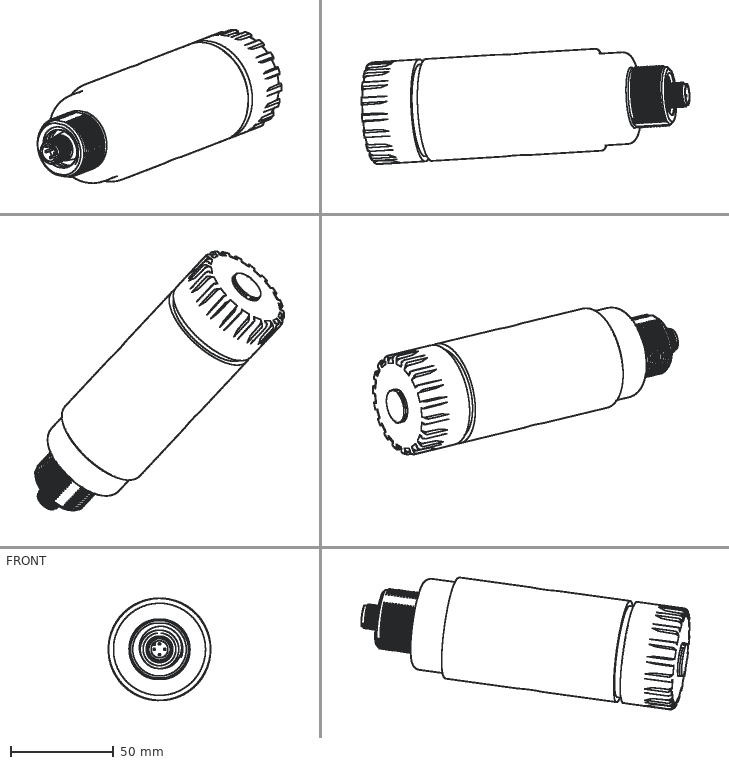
import cadquery as cq
import math

length = 160.0
back_end = length / 2
front_end = -length / 2
cap_back = back_end - 2.0
cap_front = cap_back - 25.2
body_back = cap_front - 3.3
waist_back = 13.4
waist_front = 0.0
neck_front = -52.7
sleeve_front = -71.6

body_radius = 25.0
neck_radius = 22.5
cap_edge_fillet = 1.9
waist_sag = 0.25
shoulder_start = -35.2
shoulder_convex = 1.1
shoulder_concave = body_radius - neck_radius - shoulder_convex
neck_fillet = 4.0

pocket_count = 18
pocket_clearance = 1.0
pocket_floor_radius = 23.6
pocket_floor_rise = 0.3
pocket_floor_fillet = 2.4
pocket_floor_width = 4.5
pocket_mouth_width = 6.4
pocket_floor_end = cap_back - 9.7
pocket_front = cap_back - 13.1

boss_radius = 8.2
boss_step = 0.15
boss_step_length = 1.0
boss_tab_width = 2.5
boss_tab_x = -1.1

sleeve_radius = 14.16
sleeve_flat = 13.9
sleeve_chamfer = 1.1
sleeve_flare = 0.7
sleeve_flare_length = 0.9
sleeve_thread_radius = 14.9
sleeve_pitch = 1.5
sleeve_thread_back = neck_front - 1.5
sleeve_thread_length = 15.5

bore_radius = 9.4
bore_floor_radius = 8.0
bore_cone_start = sleeve_front + 7.5
bore_floor = sleeve_front + 15.5
bore_groove_radius = 11.35
bore_pitch = 3.0
bore_groove_turns = 3
bore_groove_start = -60.0

plug_root_radius = 5.25
plug_thread_radius = 6.03
plug_pitch = 1.0
plug_thread_front = front_end + 1.2
plug_thread_length = 9.0
collar_radius = 6.5
collar_front = sleeve_front + 2.2
socket_radius = 4.15
socket_depth = 6.0
pin_circle_radius = 2.65
pin_radius = 0.5
pin_length = 5.0
pin_count = 4
key_circle_radius = 3.76
key_radius = 0.6
key_angle = 135.0

thread_foot_share = 0.85
thread_crest_share = 0.12

overlap = 0.1


def bend(radius):
    """Distance from the sharp corner to the middle of a quarter round, along either side."""
    return radius * (1 - math.sqrt(0.5))


def cylinder(radius, start, end):
    """Cylinder on the Y axis between two stations."""
    low = min(start, end)
    return cq.Workplane("XZ", origin=(0, low, 0)).circle(radius).extrude(-abs(end - start))


def revolve_y(profile):
    return profile.close().revolve(360, (0, 0, 0), (0, 1, 0))


def helix_ridge(base_radius, tip_radius, pitch, height, front, start_angle):
    """Right-hand helical ridge on the Y axis, growing from base to tip radius."""
    base_width = thread_foot_share * pitch
    tip_width = thread_crest_share * pitch
    path = cq.Wire.makeHelix(pitch, height, base_radius)
    section = (
        cq.Workplane("XZ")
        .moveTo(base_radius, -base_width / 2)
        .lineTo(tip_radius, -tip_width / 2)
        .lineTo(tip_radius, tip_width / 2)
        .lineTo(base_radius, base_width / 2)
        .close()
    )
    ridge = section.sweep(cq.Workplane(path), isFrenet=True)
    ridge = ridge.rotate((0, 0, 0), (0, 0, 1), start_angle)
    return ridge.rotate((0, 0, 0), (1, 0, 0), -90).translate((0, front, 0))


def make_housing():
    convex_end = shoulder_start - shoulder_convex
    concave_end = convex_end - shoulder_concave
    cap_bend = bend(cap_edge_fillet)
    convex_bend = bend(shoulder_convex)
    concave_bend = bend(shoulder_concave)
    neck_bend = bend(neck_fillet)
    waist_middle = (waist_back + waist_front) / 2
    return revolve_y(
        cq.Workplane("XY")
        .moveTo(0, cap_back)
        .lineTo(body_radius - cap_edge_fillet, cap_back)
        .threePointArc(
            (body_radius - cap_bend, cap_back - cap_bend),
            (body_radius, cap_back - cap_edge_fillet),
        )
        .lineTo(body_radius, cap_front)
        .lineTo(neck_radius, cap_front)
        .lineTo(neck_radius, body_back)
        .lineTo(body_radius, body_back)
        .lineTo(body_radius, waist_back)
        .threePointArc((body_radius - waist_sag, waist_middle), (body_radius, waist_front))
        .lineTo(body_radius, shoulder_start)
        .threePointArc(
            (body_radius - convex_bend, convex_end + convex_bend),
            (body_radius - shoulder_convex, convex_end),
        )
        .threePointArc(
            (neck_radius + concave_bend, convex_end - concave_bend),
            (neck_radius, concave_end),
        )
        .lineTo(neck_radius, neck_front + neck_fillet)
        .threePointArc(
            (neck_radius - neck_bend, neck_front + neck_bend),
            (neck_radius - neck_fillet, neck_front),
        )
        .lineTo(0, neck_front)
    )


def cut_grip_pockets(housing):
    """Pockets with drafted sides, a rounded back end, a gently rising floor and a ramp at the front."""
    outside = body_radius + pocket_clearance
    floor_bend = bend(pocket_floor_fillet)
    ring = revolve_y(
        cq.Workplane("XY")
        .moveTo(pocket_floor_radius - pocket_floor_fillet, cap_back)
        .threePointArc(
            (pocket_floor_radius - floor_bend, cap_back - floor_bend),
            (pocket_floor_radius, cap_back - pocket_floor_fillet),
        )
        .lineTo(pocket_floor_radius + pocket_floor_rise, pocket_floor_end)
        .lineTo(body_radius, pocket_front)
        .lineTo(outside, pocket_front)
        .lineTo(outside, cap_back)
    )
    side_slope = (pocket_mouth_width - pocket_floor_width) / (body_radius - pocket_floor_radius)
    inside = pocket_floor_radius - pocket_floor_fillet

    def width_at(radius):
        return pocket_floor_width + side_slope * (radius - pocket_floor_radius)

    wedge = (
        cq.Workplane("XZ", origin=(0, cap_back, 0))
        .moveTo(-pocket_floor_width / 2, inside)
        .lineTo(-pocket_floor_width / 2, pocket_floor_radius)
        .lineTo(-width_at(outside) / 2, outside)
        .lineTo(width_at(outside) / 2, outside)
        .lineTo(pocket_floor_width / 2, pocket_floor_radius)
        .lineTo(pocket_floor_width / 2, inside)
        .close()
        .extrude(cap_back - pocket_front)
    )
    pocket = ring.intersect(wedge)
    for i in range(pocket_count):
        housing = housing.cut(pocket.rotate((0, 0, 0), (0, 1, 0), i * 360 / pocket_count))
    return housing


def make_boss():
    step = back_end - boss_step_length
    boss = cylinder(boss_radius, cap_back - overlap, step)
    boss = boss.union(cylinder(boss_radius - boss_step, step, back_end))
    tab = (
        cq.Workplane("XZ", origin=(boss_tab_x, back_end, 0))
        .rect(boss_tab_width, 4 * boss_radius)
        .extrude(back_end - cap_back)
    )
    return boss.union(tab.intersect(cylinder(boss_radius + boss_step, cap_back, back_end)))


def sleeve_outline(station):
    """Circle with a flat at the top and at the bottom."""
    half_flat = math.sqrt(sleeve_radius**2 - sleeve_flat**2)
    return (
        cq.Workplane("XZ", origin=(0, station, 0))
        .moveTo(-half_flat, sleeve_flat)
        .lineTo(half_flat, sleeve_flat)
        .threePointArc((sleeve_radius, 0), (half_flat, -sleeve_flat))
        .lineTo(-half_flat, -sleeve_flat)
        .threePointArc((-sleeve_radius, 0), (-half_flat, sleeve_flat))
        .close()
    )


def make_sleeve():
    back = neck_front + overlap
    chamfer_start = sleeve_front + sleeve_chamfer
    thread = helix_ridge(
        sleeve_radius - overlap, sleeve_thread_radius, sleeve_pitch,
        sleeve_thread_length, sleeve_thread_back - sleeve_thread_length, 0,
    )
    slab = cq.Workplane("XY").box(4 * sleeve_radius, 2 * length, 2 * sleeve_flat)
    sleeve = cylinder(sleeve_radius, back, chamfer_start).union(thread).intersect(slab)
    tip = sleeve_outline(chamfer_start).extrude(sleeve_chamfer, taper=45)
    flare_start = neck_front - sleeve_flare_length
    flare_taper = -math.degrees(math.atan(sleeve_flare / sleeve_flare_length))
    flare = sleeve_outline(flare_start).extrude(-sleeve_flare_length, taper=flare_taper)
    return sleeve.union(tip).union(flare)


def cut_bore(sleeve):
    bore = revolve_y(
        cq.Workplane("XY")
        .moveTo(0, sleeve_front)
        .lineTo(bore_radius, sleeve_front)
        .lineTo(bore_radius, bore_cone_start)
        .lineTo(bore_floor_radius, bore_floor)
        .lineTo(0, bore_floor)
    )
    sleeve = sleeve.cut(bore)
    groove = helix_ridge(
        bore_radius - overlap, bore_groove_radius, bore_pitch,
        bore_groove_turns * bore_pitch, sleeve_front - bore_pitch, bore_groove_start,
    )
    return sleeve.cut(groove)


def make_plug():
    plug = revolve_y(
        cq.Workplane("XY")
        .moveTo(0, bore_floor + overlap)
        .lineTo(bore_floor_radius, bore_floor + overlap)
        .lineTo(collar_radius, collar_front)
        .lineTo(plug_root_radius, collar_front)
        .lineTo(plug_root_radius, front_end)
        .lineTo(0, front_end)
    )
    thread = helix_ridge(
        plug_root_radius - overlap, plug_thread_radius, plug_pitch,
        plug_thread_length, plug_thread_front, 0,
    )
    plug = plug.union(thread)
    socket_floor = front_end + socket_depth
    plug = plug.cut(cylinder(socket_radius, front_end, socket_floor))
    pins = (
        cq.Workplane("XZ", origin=(0, socket_floor + overlap, 0))
        .polarArray(pin_circle_radius, 0, 360, pin_count)
        .circle(pin_radius)
        .extrude(pin_length)
    )
    key = (
        cq.Workplane("XZ", origin=(0, socket_floor + overlap, 0))
        .polarArray(key_circle_radius, key_angle, 360, 1)
        .circle(key_radius)
        .extrude(pin_length)
    )
    return plug.union(pins).union(key)


connector = cut_bore(make_sleeve()).union(make_plug())
housing = cut_grip_pockets(make_housing()).union(make_boss())
result = housing.union(connector)